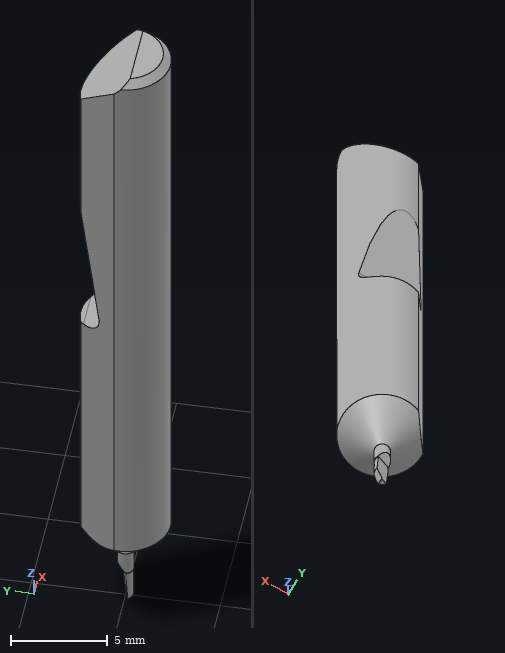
import cadquery as cq

length = 38.1
shank_radius = 2.38
neck_radius = 0.44
neck_length = 3.25
tip_radius = 0.42
tip_length = 1.85
end_chamfer = 0.42
cutter_size = 4 * shank_radius

slope_edge_y = -0.57

flat_distance = 2.02
flat_direction = 143.5

notch_floor_z = 19.6
notch_top_z = 28.25
notch_depth = 1.45
notch_fillet = 0.95

relief_direction = 20.0
relief_start_z = 2.35
relief_step_y = 0.08
relief_end_y = -0.05
corner_chamfer = 0.45
end_rise = 0.1


def make_body():
    """Revolve the stepped neck, the 45 degree cone, the shank and its end chamfer."""
    cone_top_z = neck_length + shank_radius - neck_radius
    return (
        cq.Workplane("XZ")
        .moveTo(0, 0)
        .lineTo(tip_radius, 0)
        .lineTo(tip_radius, tip_length)
        .lineTo(neck_radius, tip_length)
        .lineTo(neck_radius, neck_length)
        .lineTo(shank_radius, cone_top_z)
        .lineTo(shank_radius, length - end_chamfer)
        .lineTo(shank_radius - end_chamfer, length)
        .lineTo(0, length)
        .close()
        .revolve(360, (0, 0, 0), (0, 1, 0))
    )


def side_cutter(points):
    """Extrude a YZ outline through the part in both X directions."""
    return cq.Workplane("YZ").polyline(points).close().extrude(cutter_size, both=True)


def make_end_slope():
    run = cutter_size
    return side_cutter([(slope_edge_y, length), (slope_edge_y + run, length - run), (run, length)])


def make_side_flat():
    return (
        cq.Workplane("XY")
        .box(cutter_size, cutter_size, length, centered=(False, True, False))
        .translate((flat_distance, 0, 0))
        .rotate((0, 0, 0), (0, 0, 1), flat_direction)
    )


def make_notch():
    outline = [
        (shank_radius, notch_floor_z),
        (shank_radius - notch_depth, notch_floor_z),
        (shank_radius, notch_top_z),
    ]
    return side_cutter(outline).edges("<Y").fillet(notch_fillet)


def make_tip_relief():
    """Steep step into the neck, then a gentle taper down to the cutting edge."""
    outline = [
        (neck_radius, relief_start_z),
        (relief_step_y, tip_length),
        (relief_end_y, 0),
        (cutter_size, 0),
        (cutter_size, relief_start_z),
    ]
    return side_cutter(outline).rotate((0, 0, 0), (0, 0, 1), relief_direction)


def make_corner_chamfer():
    """Bevel the +X corner of the tip at 45 degrees above the risen end face."""
    outer = neck_radius
    inner = outer - corner_chamfer
    outline = [(inner, end_rise), (outer, end_rise + corner_chamfer), (outer, 0), (inner, 0)]
    return cq.Workplane("XZ").polyline(outline).close().extrude(cutter_size, both=True)


def make_end_relief():
    """Let the end face rise from the cutting edge towards -Y."""
    return side_cutter([(relief_end_y, 0), (-neck_radius, end_rise), (-neck_radius, 0)])


result = (
    make_body()
    .cut(make_end_slope())
    .cut(make_side_flat())
    .cut(make_notch())
    .cut(make_tip_relief())
    .cut(make_corner_chamfer())
    .cut(make_end_relief())
)